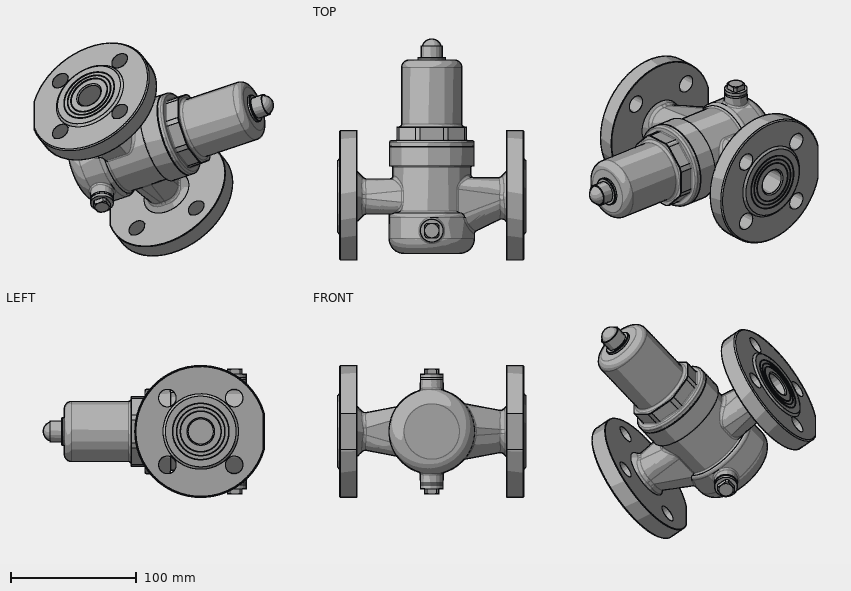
import cadquery as cq
import math


face_to_face = 150.0
flange_radius = 52.5
flange_thickness = 15.8
flange_flat_offset = 50.5
flange_front_chamfer = 1.0
flange_back_chamfer = 0.4
raised_face_height = 1.6
raised_face_radius = 28.1
raised_face_base_radius = 30.0
bolt_circle_radius = 37.5
bolt_hole_diameter = 14.0
bolt_count = 4
first_bolt_angle = 180 / bolt_count
seal_groove_radii = (16.2, 19.2, 22.4)
seal_groove_width = 0.4
seal_groove_depth = 0.4
bore_radius = 10.0
bore_depth = 30.0
bore_chamfer = 1.0

end_x = face_to_face / 2
flange_outer_x = end_x - raised_face_height
flange_inner_x = end_x - flange_thickness

bowl_radius = 34.0
bowl_bottom_y = -45.3
bowl_corner_radius = 12.0
waist_radius = 31.0
shoulder_round = 3.5
shoulder_fillet = 1.4
shoulder_y = -13.0
collar_radius = 33.7
collar_bottom_y = 24.2
collar_top_y = 39.4
collar_fillet = 1.0

neck_inner_x = 20.0
neck_overlap = 1.0
inlet_half_height = 13.95
inlet_flange_half_width = 13.5
inlet_flange_round = 13.0
inlet_housing_half_width = 21.2
inlet_housing_round = 9.0
outlet_top_y = 15.0
outlet_flange_bottom_y = -15.2
outlet_flange_half_width = 15.7
outlet_flange_round = 14.5
outlet_housing_bottom_y = -34.8
outlet_housing_half_width = 23.3
outlet_housing_bottom_round = 19.0
outlet_housing_top_round = 9.0
hub_base_radius = 20.0
hub_length = 7.5
hub_fillet = 3.5
neck_housing_fillet = 2.5

drain_y = -27.1
drain_radius = 9.05
boss_root_radius = 10.5
boss_top_z = 41.1
boss_fillet = 1.4
gasket_thickness = 1.6
plug_head_height = 2.8
plug_square_width = 11.5
plug_square_height = 4.3
plug_square_corner_radius = 6.95
plug_square_chamfer_height = 0.6

spigot_radius = 32.0
joint_gap = 0.5
bonnet_flange_top_y = 44.3
bonnet_flange_round = 1.6
octagon_sides = 8
octagon_half_width = 27.75
octagon_corner_radius = 29.25
octagon_top_y = 55.4
octagon_edge_chamfer = 0.4
octagon_foot_fillet = 0.7
bonnet_radius = 24.0
bonnet_top_y = 108.5
bonnet_foot_fillet = 2.0
bonnet_top_round = 6.0

cap_washer_radius = 11.1
cap_washer_height = 2.0
cap_washer_chamfer = 0.5
cap_radius = 8.5
cap_shoulder_y = 119.6
dome_base_radius = 7.6
cap_tip_y = 125.2

joint_margin = 5.0
edge_tolerance = 0.1


def revolve_about_y(profile):
    """Full turn of a profile about the valve axis."""
    return profile.revolve(360, (0, 0, 0), (0, 1, 0))


def revolve_about_x(profile):
    """Full turn of a profile about the pipe axis."""
    return profile.revolve(360, (0, 0, 0), (1, 0, 0))


def disc_along_y(radius, bottom_y, top_y):
    """Plain cylinder on the valve axis."""
    return (
        cq.Workplane("XZ", origin=(0, bottom_y, 0))
        .circle(radius)
        .extrude(bottom_y - top_y)
    )


def flange():
    """Flange on the +X end with a flat on its -Y edge, a raised face and a 45 degree hub."""
    beyond_flat = cq.Workplane("XY").box(face_to_face, flange_radius, 2 * flange_radius)
    beyond_flat = beyond_flat.translate((end_x, -flange_flat_offset - flange_radius / 2, 0))
    disc = (
        cq.Workplane("YZ", origin=(flange_inner_x, 0, 0))
        .circle(flange_radius)
        .extrude(flange_outer_x - flange_inner_x)
        .cut(beyond_flat)
        .faces(">X")
        .chamfer(flange_front_chamfer)
        .faces("<X")
        .chamfer(flange_back_chamfer)
    )
    raised_face_and_hub = (
        cq.Workplane("XY")
        .moveTo(end_x, 0)
        .lineTo(end_x, raised_face_radius)
        .lineTo(flange_outer_x, raised_face_base_radius)
        .lineTo(flange_outer_x, hub_base_radius)
        .lineTo(flange_inner_x, hub_base_radius)
        .lineTo(flange_inner_x - hub_length, hub_base_radius - hub_length)
        .lineTo(flange_inner_x - hub_length, 0)
        .close()
    )
    return disc.union(revolve_about_x(raised_face_and_hub))


def flange_cuts():
    """Bolt holes, seal grooves and blind bore of the +X flange."""
    face = cq.Workplane("YZ", origin=(end_x, 0, 0))
    cuts = (
        face.polarArray(bolt_circle_radius, first_bolt_angle, 360, bolt_count)
        .circle(bolt_hole_diameter / 2)
        .extrude(-flange_thickness)
    )
    for radius in seal_groove_radii:
        groove = (
            face.circle(radius + seal_groove_width / 2)
            .circle(radius - seal_groove_width / 2)
            .extrude(-seal_groove_depth)
        )
        cuts = cuts.add(groove)
    bore = (
        cq.Workplane("XY")
        .moveTo(end_x, 0)
        .lineTo(end_x, bore_radius + bore_chamfer)
        .lineTo(end_x - bore_chamfer, bore_radius)
        .lineTo(end_x - bore_depth, bore_radius)
        .lineTo(end_x - bore_depth, 0)
        .close()
    )
    return cuts.add(revolve_about_x(bore)).combine()


def neck_section(x, bottom_y, top_y, half_width, bottom_round, top_round):
    """Closed wire across the pipe axis: a rectangle with rounded bottom and top corners."""
    diagonal = 1 - math.sqrt(0.5)
    low = bottom_y + bottom_round
    high = top_y - top_round
    bottom_edge = half_width - bottom_round
    top_edge = half_width - top_round
    bottom_mid = (bottom_y + diagonal * bottom_round, half_width - diagonal * bottom_round)
    top_mid = (top_y - diagonal * top_round, half_width - diagonal * top_round)
    return (
        cq.Workplane("YZ", origin=(x, 0, 0))
        .moveTo(low, half_width)
        .lineTo(high, half_width)
        .threePointArc(top_mid, (top_y, top_edge))
        .lineTo(top_y, -top_edge)
        .threePointArc((top_mid[0], -top_mid[1]), (high, -half_width))
        .lineTo(low, -half_width)
        .threePointArc((bottom_mid[0], -bottom_mid[1]), (bottom_y, -bottom_edge))
        .lineTo(bottom_y, bottom_edge)
        .threePointArc(bottom_mid, (low, half_width))
        .close()
        .wire()
        .val()
    )


def loft(first, second):
    """Solid with straight sides between two closed wires."""
    return cq.Workplane("XY").add(cq.Solid.makeLoft([first, second], True))


def inlet_neck():
    """Neck on the -X side, widening in Z toward the housing."""
    flange_end = neck_section(
        -flange_inner_x - neck_overlap,
        -inlet_half_height,
        inlet_half_height,
        inlet_flange_half_width,
        inlet_flange_round,
        inlet_flange_round,
    )
    housing_end = neck_section(
        -neck_inner_x,
        -inlet_half_height,
        inlet_half_height,
        inlet_housing_half_width,
        inlet_housing_round,
        inlet_housing_round,
    )
    return loft(flange_end, housing_end)


def outlet_neck():
    """Neck on the +X side, sloping down toward the bowl."""
    flange_end = neck_section(
        flange_inner_x + neck_overlap,
        outlet_flange_bottom_y,
        outlet_top_y,
        outlet_flange_half_width,
        outlet_flange_round,
        outlet_flange_round,
    )
    housing_end = neck_section(
        neck_inner_x,
        outlet_housing_bottom_y,
        outlet_top_y,
        outlet_housing_half_width,
        outlet_housing_bottom_round,
        outlet_housing_top_round,
    )
    return loft(flange_end, housing_end)


def housing_core():
    """Turned shape about Y: bowl, waist and collar."""
    waist_end_y = shoulder_y + shoulder_fillet
    bowl_side_y = shoulder_y - shoulder_round
    profile = (
        cq.Workplane("ZY")
        .moveTo(0, bowl_bottom_y)
        .lineTo(bowl_radius - bowl_corner_radius, bowl_bottom_y)
        .radiusArc((bowl_radius, bowl_bottom_y + bowl_corner_radius), -bowl_corner_radius)
        .lineTo(bowl_radius, bowl_side_y)
        .radiusArc((waist_radius + shoulder_fillet, shoulder_y), -shoulder_round)
        .radiusArc((waist_radius, waist_end_y), shoulder_fillet)
        .lineTo(waist_radius, collar_bottom_y - collar_fillet)
        .radiusArc((waist_radius + collar_fillet, collar_bottom_y), collar_fillet)
        .lineTo(collar_radius, collar_bottom_y)
        .lineTo(collar_radius, collar_top_y)
        .lineTo(0, collar_top_y)
        .close()
    )
    return revolve_about_y(profile)


def between(x_range, y_range, z_range):
    """Selector for edges that lie wholly inside a box."""
    low, high = zip(x_range, y_range, z_range)
    return cq.selectors.BoxSelector(low, high, boundingbox=True)


def neck_joint(neck, radius, side):
    """One neck on a plain cylinder about Y, with its joint to the cylinder filleted."""
    barrel = disc_along_y(radius, bowl_bottom_y + joint_margin, collar_bottom_y)
    reach_x = sorted((side * (neck_inner_x - joint_margin), side * (radius + joint_margin)))
    joint = between(reach_x, (bowl_bottom_y, collar_bottom_y), (-radius, radius))
    return barrel.union(neck).edges(joint).fillet(neck_housing_fillet)


def bowl_side_only(shape):
    """The part of a shape beside the straight side of the bowl."""
    low = bowl_bottom_y + bowl_corner_radius
    high = shoulder_y - shoulder_round
    band = cq.Workplane("XY").box(face_to_face, high - low, face_to_face)
    return shape.intersect(band.translate((0, (low + high) / 2, 0)))


def drain_boss():
    """Slightly tapered boss on the +Z side of the bowl."""
    return (
        cq.Workplane("XY", origin=(0, drain_y, 0))
        .circle(boss_root_radius)
        .workplane(offset=boss_top_z)
        .circle(drain_radius)
        .loft(ruled=True)
    )


def make_housing():
    """Cast housing with its necks, flanges and drain bosses."""
    body = housing_core()
    body = body.union(neck_joint(inlet_neck(), waist_radius, -1))
    body = body.union(neck_joint(outlet_neck(), waist_radius, 1))
    body = body.union(bowl_side_only(neck_joint(outlet_neck(), bowl_radius, 1)))
    body = body.union(flange()).union(flange().mirror("YZ"))
    body = body.union(drain_boss()).union(drain_boss().mirror("XY"))

    across = (-hub_base_radius + edge_tolerance, hub_base_radius - edge_tolerance)
    for side in (-1, 1):
        hub_x = sorted((side * (flange_inner_x - hub_length), side * (flange_inner_x - edge_tolerance)))
        body = body.edges(between(hub_x, across, across)).fillet(hub_fillet)

    for side in (-1, 1):
        boss_x = (-boss_root_radius, boss_root_radius)
        boss_y = (drain_y - boss_root_radius, drain_y + boss_root_radius)
        boss_z = sorted((side * (bowl_radius - joint_margin), side * (bowl_radius + joint_margin)))
        body = body.edges(between(boss_x, boss_y, boss_z)).fillet(boss_fillet)
    return body.cut(flange_cuts()).cut(flange_cuts().mirror("YZ"))


def make_gasket():
    """Flat sealing disc on the upper drain boss."""
    return (
        cq.Workplane("XY", origin=(0, drain_y, boss_top_z))
        .circle(drain_radius)
        .extrude(gasket_thickness)
    )


def make_plug():
    """Round plug head on the upper gasket, with a square whose corners are turned down."""
    head_z = boss_top_z + gasket_thickness
    square_z = head_z + plug_head_height
    head = (
        cq.Workplane("XY", origin=(0, drain_y, head_z))
        .circle(drain_radius)
        .extrude(plug_head_height)
    )
    corner_chamfer = plug_square_corner_radius - plug_square_width / 2
    turned = (
        cq.Workplane("XY", origin=(0, drain_y, square_z))
        .circle(plug_square_corner_radius)
        .extrude(plug_square_height)
        .faces(">Z")
        .chamfer(plug_square_chamfer_height, corner_chamfer)
    )
    square = (
        cq.Workplane("XY", origin=(0, drain_y, square_z))
        .rect(plug_square_width, plug_square_width)
        .extrude(plug_square_height)
    )
    return head.union(square.intersect(turned))


def octagon():
    """Spanner octagon of the bonnet, its corners turned down to a circle."""
    height = octagon_top_y - bonnet_flange_top_y
    corner_diameter = 2 * octagon_half_width / math.cos(math.pi / octagon_sides)
    flats = (
        cq.Workplane("XZ", origin=(0, bonnet_flange_top_y, 0))
        .transformed(rotate=(0, 0, 180 / octagon_sides))
        .polygon(octagon_sides, corner_diameter)
        .extrude(-height)
    )
    turned = disc_along_y(octagon_corner_radius, bonnet_flange_top_y, octagon_top_y)
    return flats.intersect(turned).faces(">Y").chamfer(octagon_edge_chamfer)


def make_bonnet():
    """Spring bonnet: flange, octagon and round-topped barrel."""
    flange_bottom_y = collar_top_y + joint_gap
    spigot = disc_along_y(spigot_radius, collar_top_y, flange_bottom_y)
    rim = disc_along_y(collar_radius, flange_bottom_y, bonnet_flange_top_y)
    rim = rim.faces(">Y").edges().fillet(bonnet_flange_round)
    barrel_profile = (
        cq.Workplane("ZY")
        .moveTo(0, octagon_top_y)
        .lineTo(bonnet_radius + bonnet_foot_fillet, octagon_top_y)
        .radiusArc((bonnet_radius, octagon_top_y + bonnet_foot_fillet), bonnet_foot_fillet)
        .lineTo(bonnet_radius, bonnet_top_y - bonnet_top_round)
        .radiusArc((bonnet_radius - bonnet_top_round, bonnet_top_y), -bonnet_top_round)
        .lineTo(0, bonnet_top_y)
        .close()
    )
    base = rim.union(octagon())
    reach = (-octagon_corner_radius, octagon_corner_radius)
    foot_y = (bonnet_flange_top_y - edge_tolerance, bonnet_flange_top_y + edge_tolerance)
    base = base.edges(between(reach, foot_y, reach)).fillet(octagon_foot_fillet)
    return base.union(spigot).union(revolve_about_y(barrel_profile))


def make_cap():
    """Domed cap with a collar at its foot, on top of the bonnet."""
    washer_top_y = bonnet_top_y + cap_washer_height
    dome_height = cap_tip_y - cap_shoulder_y
    dome_radius = (dome_base_radius**2 + dome_height**2) / (2 * dome_height)
    profile = (
        cq.Workplane("ZY")
        .moveTo(0, bonnet_top_y)
        .lineTo(cap_washer_radius, bonnet_top_y)
        .lineTo(cap_washer_radius, washer_top_y - cap_washer_chamfer)
        .lineTo(cap_washer_radius - cap_washer_chamfer, washer_top_y)
        .lineTo(cap_radius, washer_top_y)
        .lineTo(cap_radius, cap_shoulder_y)
        .lineTo(dome_base_radius, cap_shoulder_y)
        .radiusArc((0, cap_tip_y), -dome_radius)
        .close()
    )
    return revolve_about_y(profile)


housing = make_housing()
bonnet = make_bonnet()
cap = make_cap()
solids = [*housing.solids().vals(), *bonnet.solids().vals(), *cap.solids().vals()]
for make_drain_part in (make_gasket, make_plug):
    upper = make_drain_part()
    lower = upper.mirror("XY")
    solids += [*upper.solids().vals(), *lower.solids().vals()]

result = cq.Compound.makeCompound(solids)